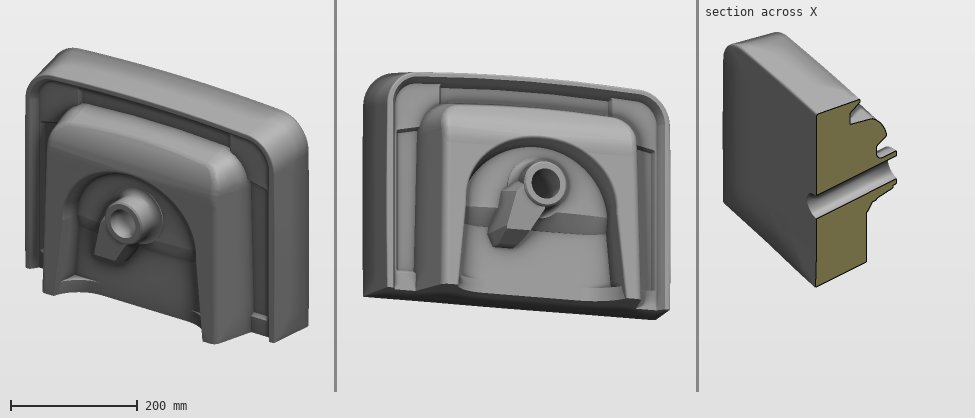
import cadquery as cq
import math


RIM_DEPTH = 86.0
DECK_HALF_WIDTH = 249.0
SIDE_BULGE = 1.5
DECK_REACH = 370.5
UNDER_HALF_WIDTH = 240.0
UNDER_REACH = 356.5
RIM_CROWN = 6.0
RIM_CORNER_X = 192.0
RIM_CORNER_Z = 305.0
CORNER_MID = math.sqrt(0.5)
DECK_EDGE_ROUND = 4.5
UNDER_EDGE_ROUND = 2.5

PANEL_DEPTH = RIM_DEPTH - 13.0
PANEL_HALF_WIDTH = 222.0
PANEL_REACH = 340.0
RECESS_CORNER_INSET = 7.5
RIM_WALL_SLOPE = 35
WINDOW_SINK = 6.0
WINDOW_DEPTH = PANEL_DEPTH - WINDOW_SINK
WINDOW_SLOPE = 40
WINDOW_BOTTOM = 33.0
WINDOW_SIDE_INNER_X = 150.0
WINDOW_SIDE_OUTER_X = 215.0
WINDOW_SIDE_TOP = 253.0
WINDOW_SIDE_TOP_INNER = 266.0
WINDOW_HALF_WIDTH = 142.0
WINDOW_REACH = 336.0

BOWL_DEPTH = 145.0
BOWL_HALF_WIDTH = 189.5
BOWL_SHOULDER_HALF_WIDTH = 182.5
BOWL_SHOULDER_Z = 252.0
BOWL_REACH = 313.0
BOWL_CROWN = 4.5
BOWL_CORNER_X = 132.5
BOWL_DRAFT = 15
BOWL_EDGE_ROUND = 12.5
BOWL_FLAT_TOP_Z = 230.0
BOWL_FLAT_TOP_DEPTH = 140.0
BOWL_CURVE_MID = (-128.0, 280.0)
BOWL_CURVE_END = (-108.5, 303.0)

HOLLOW_FLOOR_DEPTH = RIM_DEPTH + 13.0
HOLLOW_SPRING_Z = 135.0
FLOOR_HALF_WIDTH = 136.5
FLOOR_SPRING_HALF_WIDTH = 123.5
FLOOR_HAUNCH = (87.0, 197.0)
FLOOR_TOP_Z = 225.0
MOUTH_HALF_WIDTH = 142.5
MOUTH_SPRING_HALF_WIDTH = 128.0
MOUTH_HAUNCH = (97.5, 215.0)
MOUTH_TOP_Z = 252.5
MOUTH_ROUND = 4.0

DOME_CENTRE_DEPTH = 119.0
DOME_SIDE_DEPTH = 106.0
FOOT_SIDE_DEPTH = 97.0
FOOT_CENTRE_DEPTH = 101.0
DOME_FOOT_Z = 106.5
DOME_RAMP_TOP_Z = 135.0

DRAIN_Z = 171.0
DRAIN_BORE = 48.5
DRAIN_RADIUS = 36.0
DRAIN_DEPTH = 158.5
DRAIN_CHAMFER = 2.5
COLLAR_RADIUS = 49.0
COLLAR_BASE_DEPTH = 119.0

BOSS_BASE = [
    (-38.0, 188.0), (-65.0, 165.0), (-76.0, 95.0), (-66.5, 75.0),
    (-33.0, 75.0), (-16.0, 95.0), (7.0, 133.0), (0.0, DRAIN_Z),
]
BOSS_FACE = [
    (-33.0, 171.0), (-47.0, 156.0), (-60.0, 102.5), (-60.0, 80.0),
    (-32.0, 80.0), (-19.5, 102.0), (1.0, 132.0), (0.0, DRAIN_Z),
]
BOSS_TOP_DEPTH = 155.0
BOSS_FOOT_DEPTH = 148.0
BOSS_FOOT_Z = 96.0
BOSS_TOE_DEPTH = 117.5
BOSS_TOE_Z = 75.0

BLOCK_INNER_X = 84.0
BLOCK_HEIGHT = 21.5
BLOCK_OUTER_DEPTH = 141.0
BLOCK_ARC_MID = (120.0, 111.5)

SWELL_HEIGHT = 2.0
SWELL_LENGTH = 74.0
SWELL_HALF_WIDTH = 125.0

MARGIN = 25.0
OVERLAP = 5.0


def at_depth(depth):
    """Sketch plane parallel to the deck, facing the underside."""
    return cq.Workplane("XZ", origin=(0, -depth, 0))


def prism_along_x(depth_z_points):
    """Prism spanning the whole width, from (depth, z) points."""
    points = [(-depth, z) for depth, z in depth_z_points]
    return cq.Workplane("YZ").polyline(points).close().extrude(DECK_HALF_WIDTH + MARGIN, both=True)


def rounded_outline(plane, bottom_z, half_width, bulge, side_top, corner_x, reach, crown):
    """Outline with slightly bowed sides, round corners and a crowned front edge."""
    side_x, side_z = side_top
    corner_z = reach - crown
    round_x = corner_x + (side_x - corner_x) * CORNER_MID
    round_z = side_z + (corner_z - side_z) * CORNER_MID
    bow_x = (half_width + side_x) / 2 + bulge
    bow_z = (bottom_z + side_z) / 2
    sketch = plane.moveTo(-half_width, bottom_z).lineTo(half_width, bottom_z)
    if bulge:
        sketch = sketch.threePointArc((bow_x, bow_z), side_top)
    else:
        sketch = sketch.lineTo(side_x, side_z)
    sketch = sketch.threePointArc((round_x, round_z), (corner_x, corner_z))
    sketch = sketch.threePointArc((0, reach), (-corner_x, corner_z))
    sketch = sketch.threePointArc((-round_x, round_z), (-side_x, side_z))
    if bulge:
        return sketch.threePointArc((-bow_x, bow_z), (-half_width, bottom_z)).close()
    return sketch.close()


def rim_outline(plane, half_width, reach):
    inset = DECK_HALF_WIDTH - half_width
    side_top = (half_width, RIM_CORNER_Z - inset)
    return rounded_outline(plane, 0, half_width, SIDE_BULGE, side_top,
                           RIM_CORNER_X - inset, reach, RIM_CROWN)


def make_rim():
    deck = rim_outline(at_depth(0), DECK_HALF_WIDTH, DECK_REACH)
    body = rim_outline(deck.workplane(offset=RIM_DEPTH), UNDER_HALF_WIDTH, UNDER_REACH).loft(ruled=True)
    body = body.faces(">Y").edges("not <Z").fillet(DECK_EDGE_ROUND)
    return body.faces("<Y").edges("not <Z").fillet(UNDER_EDGE_ROUND)


def rim_recess():
    side_top = (PANEL_HALF_WIDTH, RIM_CORNER_Z - RECESS_CORNER_INSET)
    outline = rounded_outline(at_depth(PANEL_DEPTH), -MARGIN, PANEL_HALF_WIDTH, 0, side_top,
                              RIM_CORNER_X - RECESS_CORNER_INSET, PANEL_REACH, RIM_CROWN)
    return outline.extrude(MARGIN, taper=-RIM_WALL_SLOPE)


def window(outline):
    return outline.extrude(WINDOW_SINK, taper=-WINDOW_SLOPE)


def side_window(side):
    outer_x = side * WINDOW_SIDE_OUTER_X
    inner_x = side * WINDOW_SIDE_INNER_X
    points = [
        (outer_x, WINDOW_BOTTOM), (inner_x, WINDOW_BOTTOM),
        (inner_x, WINDOW_SIDE_TOP_INNER), (outer_x, WINDOW_SIDE_TOP),
    ]
    return window(at_depth(WINDOW_DEPTH).polyline(points).close())


def front_window():
    corner_z = WINDOW_REACH - BOWL_CROWN
    outline = at_depth(WINDOW_DEPTH).moveTo(-WINDOW_HALF_WIDTH, BOWL_SHOULDER_Z)
    outline = outline.lineTo(WINDOW_HALF_WIDTH, BOWL_SHOULDER_Z).lineTo(WINDOW_HALF_WIDTH, corner_z)
    outline = outline.threePointArc((0, WINDOW_REACH), (-WINDOW_HALF_WIDTH, corner_z)).close()
    return window(outline)


def make_bowl():
    shoulder = (BOWL_SHOULDER_HALF_WIDTH, BOWL_SHOULDER_Z)
    outline = rounded_outline(at_depth(WINDOW_DEPTH), -MARGIN, BOWL_HALF_WIDTH, 0, shoulder,
                              BOWL_CORNER_X, BOWL_REACH, BOWL_CROWN)
    body = outline.extrude(BOWL_DEPTH - WINDOW_DEPTH + MARGIN, taper=BOWL_DRAFT)
    underside = (
        cq.Workplane("YZ", origin=(-DECK_HALF_WIDTH, 0, 0))
        .moveTo(0, 0)
        .lineTo(-BOWL_DEPTH, 0)
        .lineTo(-BOWL_FLAT_TOP_DEPTH, BOWL_FLAT_TOP_Z)
        .threePointArc(BOWL_CURVE_MID, BOWL_CURVE_END)
        .lineTo(0, DECK_REACH)
        .close()
        .extrude(2 * DECK_HALF_WIDTH)
    )
    body = body.intersect(underside)
    return body.faces("<Y").edges("not(<Z or |X)").fillet(BOWL_EDGE_ROUND)


def arch_outline(plane, half_width, spring_half_width, haunch, top_z):
    haunch_x, haunch_z = haunch
    crown = [
        (haunch_x, haunch_z), (0, top_z), (-haunch_x, haunch_z),
        (-spring_half_width, HOLLOW_SPRING_Z),
    ]
    return (
        plane.moveTo(-half_width, 0)
        .lineTo(half_width, 0)
        .lineTo(spring_half_width, HOLLOW_SPRING_Z)
        .spline(crown, includeCurrent=True)
        .close()
    )


def make_hollow():
    floor = arch_outline(at_depth(HOLLOW_FLOOR_DEPTH), FLOOR_HALF_WIDTH, FLOOR_SPRING_HALF_WIDTH,
                         FLOOR_HAUNCH, FLOOR_TOP_Z)
    above_floor = floor.workplane(offset=BOWL_DEPTH - HOLLOW_FLOOR_DEPTH)
    mouth = arch_outline(above_floor, MOUTH_HALF_WIDTH, MOUTH_SPRING_HALF_WIDTH,
                         MOUTH_HAUNCH, MOUTH_TOP_Z)
    return mouth.loft(ruled=True)


def make_hollowed_bowl():
    mouth_region = cq.selectors.BoxSelector(
        (-MOUTH_HALF_WIDTH, -BOWL_DEPTH - MOUTH_ROUND, MOUTH_ROUND),
        (MOUTH_HALF_WIDTH, -BOWL_FLAT_TOP_DEPTH + MOUTH_ROUND, MOUTH_TOP_Z),
    )
    return make_bowl().cut(make_hollow()).edges(mouth_region).fillet(MOUTH_ROUND)


def dome_section(plane, side_depth, centre_depth):
    return (
        plane.moveTo(-FLOOR_HALF_WIDTH, -PANEL_DEPTH)
        .lineTo(-FLOOR_HALF_WIDTH, -side_depth)
        .threePointArc((0, -centre_depth), (FLOOR_HALF_WIDTH, -side_depth))
        .lineTo(FLOOR_HALF_WIDTH, -PANEL_DEPTH)
        .close()
    )


def make_dome():
    """Bowl floor bulging into the hollow, ending in a ramp towards the wall edge."""
    ramp_top = cq.Workplane("XY", origin=(0, 0, DOME_RAMP_TOP_Z))
    dome = dome_section(ramp_top, DOME_SIDE_DEPTH, DOME_CENTRE_DEPTH)
    dome = dome.extrude(BOWL_SHOULDER_Z - DOME_RAMP_TOP_Z)
    foot = dome_section(cq.Workplane("XY", origin=(0, 0, DOME_FOOT_Z)), FOOT_SIDE_DEPTH, FOOT_CENTRE_DEPTH)
    above_foot = foot.workplane(offset=DOME_RAMP_TOP_Z - DOME_FOOT_Z)
    ramp = dome_section(above_foot, DOME_SIDE_DEPTH, DOME_CENTRE_DEPTH).loft(ruled=True)
    return dome.union(ramp)


def drain_stub(depth, radius, length):
    return at_depth(depth).center(0, DRAIN_Z).circle(radius).extrude(length)


def make_drain():
    """Drain pipe with a chamfered end, flaring at its foot into a round collar."""
    flare = COLLAR_RADIUS - DRAIN_RADIUS
    flare_mid = flare * (1 - CORNER_MID)
    profile = (
        cq.Workplane("XY", origin=(0, 0, DRAIN_Z))
        .moveTo(0, -PANEL_DEPTH)
        .lineTo(COLLAR_RADIUS, -PANEL_DEPTH)
        .lineTo(COLLAR_RADIUS, -COLLAR_BASE_DEPTH)
        .threePointArc((DRAIN_RADIUS + flare_mid, -COLLAR_BASE_DEPTH - flare_mid),
                       (DRAIN_RADIUS, -COLLAR_BASE_DEPTH - flare))
        .lineTo(DRAIN_RADIUS, -DRAIN_DEPTH)
        .lineTo(0, -DRAIN_DEPTH)
        .close()
    )
    return profile.revolve(360, (0, 0, 0), (0, 1, 0)).faces("<Y").chamfer(DRAIN_CHAMFER)


def make_boss():
    base = at_depth(HOLLOW_FLOOR_DEPTH).polyline(BOSS_BASE).close()
    above_base = base.workplane(offset=BOSS_TOP_DEPTH - HOLLOW_FLOOR_DEPTH)
    body = above_base.polyline(BOSS_FACE).close().loft(ruled=True)
    return body.intersect(prism_along_x([
        (HOLLOW_FLOOR_DEPTH, 0), (BOSS_TOE_DEPTH, BOSS_TOE_Z), (BOSS_FOOT_DEPTH, BOSS_FOOT_Z),
        (BOSS_TOP_DEPTH, DRAIN_Z), (BOSS_TOP_DEPTH, BOWL_SHOULDER_Z),
        (HOLLOW_FLOOR_DEPTH, BOWL_SHOULDER_Z),
    ]))


def corner_block(side):
    """Low block with a hollow round face, filling the corner of floor and hollow wall."""
    inner_x = side * BLOCK_INNER_X
    outer_x = side * MOUTH_HALF_WIDTH
    buried_x = side * (MOUTH_HALF_WIDTH + OVERLAP)
    return (
        cq.Workplane("XY")
        .moveTo(inner_x, -PANEL_DEPTH)
        .lineTo(inner_x, -HOLLOW_FLOOR_DEPTH)
        .threePointArc((side * BLOCK_ARC_MID[0], -BLOCK_ARC_MID[1]), (outer_x, -BLOCK_OUTER_DEPTH))
        .lineTo(buried_x, -BLOCK_OUTER_DEPTH)
        .lineTo(buried_x, -PANEL_DEPTH)
        .close()
        .extrude(BLOCK_HEIGHT)
    )


def make_swell():
    """Wedge that fades out away from the wall, rounded over its width."""
    segment = (
        cq.Workplane("XY")
        .moveTo(-SWELL_HALF_WIDTH, 0)
        .threePointArc((0, SWELL_HEIGHT), (SWELL_HALF_WIDTH, 0))
        .lineTo(SWELL_HALF_WIDTH, -OVERLAP)
        .lineTo(-SWELL_HALF_WIDTH, -OVERLAP)
        .close()
        .extrude(SWELL_LENGTH)
    )
    return segment.intersect(prism_along_x([
        (OVERLAP, 0), (-SWELL_HEIGHT, 0), (0, SWELL_LENGTH), (OVERLAP, SWELL_LENGTH),
    ]))


result = make_rim().cut(rim_recess()).cut(front_window())
for side in (-1, 1):
    result = result.cut(side_window(side))
for feature in (make_hollowed_bowl(), make_dome(), make_drain(), make_boss(), make_swell()):
    result = result.union(feature)
for side in (-1, 1):
    result = result.union(corner_block(side))
bore = drain_stub(-MARGIN, DRAIN_BORE / 2, DRAIN_DEPTH + 2 * MARGIN)
result = result.cut(bore)